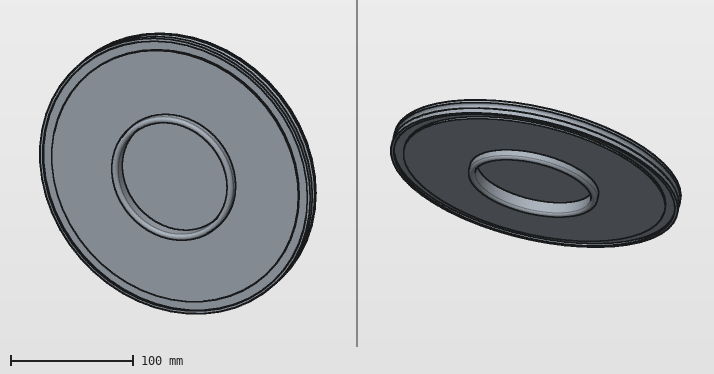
import cadquery as cq

disc_diameter = 240.0
disc_thickness = 12.0
overall_depth = 19.5

groove_bottom_diameter = 235.0
groove_center_y = -5.0

recess_outer_diameter = 235.0
recess_inner_diameter = 219.0
recess_depth = 2.0

ring_outer_diameter = 107.8
ring_inner_diameter = 97.0
ring_crown_height = 2.5
pocket_depth = 4.0

disc_front_y = -disc_thickness
pocket_floor_y = disc_front_y + pocket_depth
ring_front_y = -overall_depth


def cylinder(diameter, back_y, length):
    """Cylinder about the Y axis that runs from back_y toward -Y."""
    return cq.Workplane("XZ", origin=(0, back_y, 0)).circle(diameter / 2).extrude(length)


def tube(outer_diameter, inner_diameter, back_y, length):
    """Tube about the Y axis that runs from back_y toward -Y."""
    return cylinder(outer_diameter, back_y, length).cut(cylinder(inner_diameter, back_y, length))


def make_rim_groove():
    """Half-round groove, as a torus whose section is centered on the rim."""
    rim_radius = disc_diameter / 2
    groove_radius = rim_radius - groove_bottom_diameter / 2
    return (
        cq.Workplane("XY")
        .center(rim_radius, groove_center_y)
        .circle(groove_radius)
        .revolve(360, (-rim_radius, 0, 0), (-rim_radius, 1, 0))
    )


def make_disc():
    """Disc with the rim groove, the front recess and the pocket for the ring."""
    recess = tube(recess_outer_diameter, recess_inner_diameter, disc_front_y + recess_depth, recess_depth)
    pocket = cylinder(ring_outer_diameter, pocket_floor_y, pocket_depth)
    return cylinder(disc_diameter, 0, disc_thickness).cut(make_rim_groove()).cut(recess).cut(pocket)


def make_ring():
    """Ring that stands on the pocket floor, with an arched front."""
    outer_radius = ring_outer_diameter / 2
    inner_radius = ring_inner_diameter / 2
    crown_base_y = ring_front_y + ring_crown_height
    return (
        cq.Workplane("XY")
        .moveTo(inner_radius, pocket_floor_y)
        .lineTo(outer_radius, pocket_floor_y)
        .lineTo(outer_radius, crown_base_y)
        .threePointArc(((outer_radius + inner_radius) / 2, ring_front_y), (inner_radius, crown_base_y))
        .close()
        .revolve(360, (0, 0, 0), (0, 1, 0))
    )


disc = make_disc()
ring = make_ring()

result = cq.Compound.makeCompound([disc.val(), ring.val()])